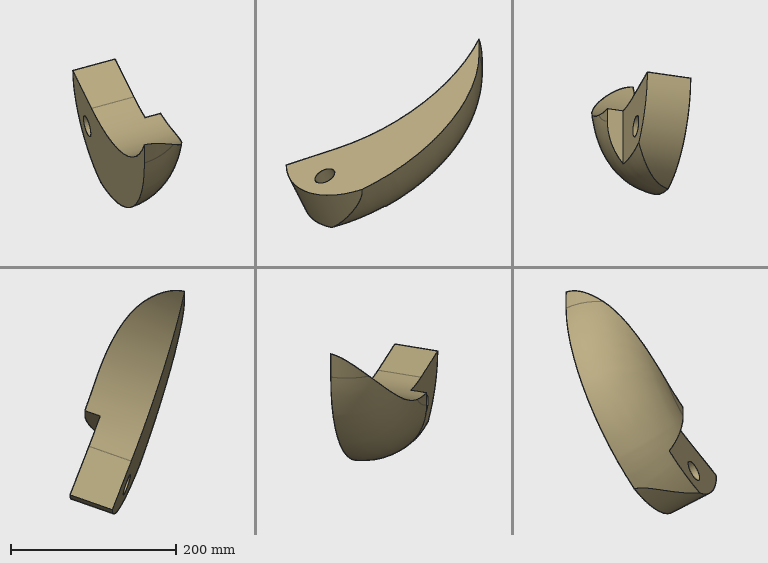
import cadquery as cq
import math

length = 252.5
thickness = 74.8

hub_radius = 100.0
flat_length = 66.2

claw_radius = 200.0
outer_center_x = length - claw_radius
outer_center_z = 94.5
rim_radius = 79.8

hole_diameter = 25.8
hole_x = 50.8
hole_z = -48.0

step_x = 105.8
hub_thickness = 54.8

inner_center_z = claw_radius
tip_z = inner_center_z - math.sqrt(claw_radius**2 - (length - flat_length) ** 2)


def inner_arc_point(x):
    """Point on the concave inner edge at the given x."""
    return x, inner_center_z - math.sqrt(claw_radius**2 - (x - flat_length) ** 2)


def make_blank():
    """Plate with the hub and inner edges; its lower right corner is left square."""
    diagonal = hub_radius * math.sqrt(0.5)
    return (
        cq.Workplane("XZ")
        .lineTo(flat_length, 0)
        .threePointArc(inner_arc_point((flat_length + length) / 2), (length, tip_z))
        .lineTo(length, -hub_radius)
        .lineTo(hub_radius, -hub_radius)
        .threePointArc((hub_radius - diagonal, -diagonal), (0, 0))
        .close()
        .extrude(-thickness)
    )


def make_dome_section():
    """Half section of the dome: flat back, rounded down to a rim on the front face."""
    arc_center_y = thickness - rim_radius
    rim_width = math.sqrt(rim_radius**2 - arc_center_y**2)
    flat_radius = claw_radius - rim_width
    mid_angle = (math.asin(-arc_center_y / rim_radius) + math.pi / 2) / 2
    mid_point = (
        flat_radius + rim_radius * math.cos(mid_angle),
        arc_center_y + rim_radius * math.sin(mid_angle),
    )
    return (
        cq.Workplane("XY", origin=(outer_center_x, 0, outer_center_z))
        .lineTo(claw_radius, 0)
        .threePointArc(mid_point, (flat_radius, thickness))
        .lineTo(0, thickness)
        .close()
    )


def make_dome():
    """Revolved dome, carried straight up to the height of the tip."""
    round_part = make_dome_section().revolve(360, (0, 0), (0, 1))
    straight_part = make_dome_section().extrude(tip_z - outer_center_z)
    return round_part.union(straight_part)


def make_step():
    """Block removed from the back of the hub."""
    return (
        cq.Workplane("XY", origin=(0, 0, -hub_radius))
        .moveTo(0, hub_thickness)
        .lineTo(step_x, hub_thickness)
        .lineTo(step_x, thickness)
        .lineTo(0, thickness)
        .close()
        .extrude(hub_radius + tip_z)
    )


def make_pivot_hole():
    return (
        cq.Workplane("XZ")
        .center(hole_x, hole_z)
        .circle(hole_diameter / 2)
        .extrude(-thickness)
    )


result = make_blank().intersect(make_dome()).cut(make_step()).cut(make_pivot_hole())